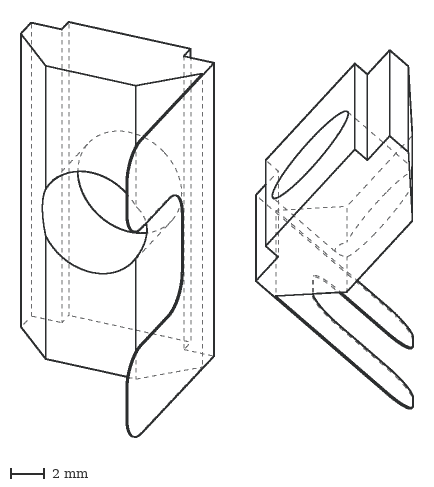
import cadquery as cq

width = 12.0
height = 20.0
depth = 5.5
tongue_width = 8.0
tongue_depth = 1.0
bevel = 3.0
hole_diameter = 6.8

plate_thickness = 0.1
plate_reach = 13.5
prong_height = 6.0
slot_bottom = 5.5
corner_radius = 2.0

half_width = width / 2
half_tongue = tongue_width / 2
plate_inner_face = half_width - plate_thickness
half_height = height / 2


def make_block():
    """T-nut profile up to the plate, extruded along Z, with a round hole through Y."""
    block = (
        cq.Workplane("XY")
        .workplane(offset=-half_height)
        .moveTo(-half_tongue, 0)
        .lineTo(half_tongue, 0)
        .lineTo(half_tongue, -tongue_depth)
        .lineTo(plate_inner_face, -tongue_depth)
        .lineTo(plate_inner_face, bevel - depth)
        .lineTo(plate_inner_face - bevel, -depth)
        .lineTo(bevel - half_width, -depth)
        .lineTo(-half_width, bevel - depth)
        .lineTo(-half_width, -tongue_depth)
        .lineTo(-half_tongue, -tongue_depth)
        .close()
        .extrude(height)
    )
    hole = cq.Workplane("XZ").circle(hole_diameter / 2).extrude(depth)
    return block.cut(hole)


def make_plate():
    """Two-pronged plate with rounded prong tips and slot corners."""
    half_slot = half_height - prong_height
    return (
        cq.Workplane("YZ")
        .workplane(offset=plate_inner_face)
        .moveTo(-tongue_depth, -half_height)
        .lineTo(-plate_reach, -half_height)
        .lineTo(-plate_reach, -half_slot)
        .lineTo(-slot_bottom, -half_slot)
        .lineTo(-slot_bottom, half_slot)
        .lineTo(-plate_reach, half_slot)
        .lineTo(-plate_reach, half_height)
        .lineTo(-tongue_depth, half_height)
        .close()
        .extrude(plate_thickness)
        .edges("|X and (not >Y)")
        .fillet(corner_radius)
    )


result = make_block().union(make_plate())